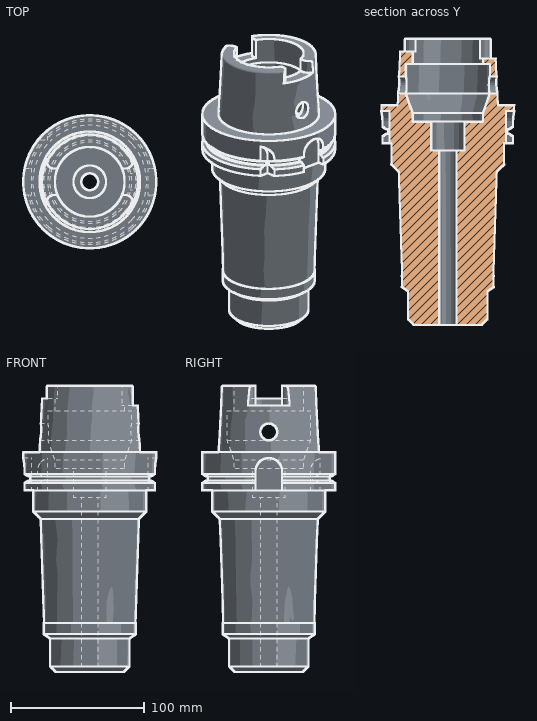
import cadquery as cq
import math

total_height = 215.2

nose_radius = 30.0
nose_chamfer = 4.3
nose_top = 25.2
collar_radius = 34.6
collar_bottom = 28.5
collar_top = 36.8

body_bottom_radius = 34.5
body_top = 115.1
body_top_radius = 37.0
hub_bottom = 120.5
hub_radius = 42.6

flange_diameter = 100.0
flange_radius = flange_diameter / 2
flange_top = 165.3
flange_bottom = 136.5
groove_floor_radius = 45.8
groove_lip_bottom = 141.8
groove_floor_bottom = 143.8
groove_floor_top = 147.0
groove_lip_top = 149.0
groove_slant_depth = 2.8

shank_taper = 0.1
shank_base_radius = 37.9
shank_top_radius = shank_base_radius - shank_taper * (total_height - flange_top) / 2
rim_fillet = 1.7

mouth_radius = 26.3
mouth_depth = 19.2
undercut_radius = 31.5
undercut_depth = 41.0
undercut_cone_angle = 19.0
cavity_depth = 62.5
tube_seat_radius = 12.3
tube_seat_depth = 21.5
coolant_hole_radius = 6.2

keyway_width = 19.8
keyway_flare_radius = 5.8
keyway_flare_start = 26.7
keyway_depth_left = 9.7
keyway_depth_right = 14.8

cross_hole_radius = 6.2
cross_hole_depth = 34.9

slot_width = 20.0
slot_headroom = 4.5
slot_top = flange_top - slot_headroom
drive_slot_floor = 44.0
index_slot_floor = 31.8
index_slot_inner_edge = 31.2


def turned_body():
    groove_slant_radius = flange_radius - groove_slant_depth
    profile = [
        (0, 0),
        (nose_radius - nose_chamfer, 0),
        (nose_radius, nose_chamfer),
        (nose_radius, nose_top),
        (collar_radius, collar_bottom),
        (collar_radius, collar_top),
        (body_bottom_radius, collar_top),
        (body_top_radius, body_top),
        (hub_radius, hub_bottom),
        (hub_radius, flange_bottom),
        (flange_radius, flange_bottom),
        (flange_radius, groove_lip_bottom),
        (groove_slant_radius, groove_floor_bottom),
        (groove_floor_radius, groove_floor_bottom),
        (groove_floor_radius, groove_floor_top),
        (groove_slant_radius, groove_floor_top),
        (flange_radius, groove_lip_top),
        (flange_radius, flange_top),
        (shank_base_radius, flange_top),
        (shank_top_radius, total_height),
        (0, total_height),
    ]
    body = cq.Workplane("XZ").polyline(profile).close().revolve(360, (0, 0), (0, 1))
    return body.faces(">Z").edges().fillet(rim_fillet)


def interior():
    mouth_bottom = total_height - mouth_depth
    undercut_bottom = total_height - undercut_depth
    cone_height = (undercut_radius - mouth_radius) / math.tan(math.radians(undercut_cone_angle))
    cavity_floor = total_height - cavity_depth
    seat_floor = cavity_floor - tube_seat_depth
    profile = [
        (0, 0),
        (coolant_hole_radius, 0),
        (coolant_hole_radius, seat_floor),
        (tube_seat_radius, seat_floor),
        (tube_seat_radius, cavity_floor),
        (mouth_radius, cavity_floor),
        (mouth_radius, undercut_bottom - cone_height),
        (undercut_radius, undercut_bottom),
        (undercut_radius, mouth_bottom),
        (mouth_radius, mouth_bottom),
        (mouth_radius, total_height),
        (0, total_height),
    ]
    return cq.Workplane("XZ").polyline(profile).close().revolve(360, (0, 0), (0, 1))


def keyway(side, depth):
    """Rim notch on the +X or -X side whose walls flare outwards in arcs."""
    half = keyway_width / 2
    flared = half + keyway_flare_radius
    flare_end = keyway_flare_start + keyway_flare_radius
    outside = flange_radius
    bend = keyway_flare_radius * math.sqrt(0.5)
    bend_x = keyway_flare_start + bend
    bend_y = flared - bend
    return (
        cq.Workplane("XY", origin=(0, 0, total_height - depth))
        .moveTo(0, -half)
        .lineTo(side * keyway_flare_start, -half)
        .threePointArc((side * bend_x, -bend_y), (side * flare_end, -flared))
        .lineTo(side * outside, -flared)
        .lineTo(side * outside, flared)
        .lineTo(side * flare_end, flared)
        .threePointArc((side * bend_x, bend_y), (side * keyway_flare_start, half))
        .lineTo(0, half)
        .close()
        .extrude(depth)
    )


def flange_slot(side, floor, center_y):
    """Round-topped slot, open at the flange bottom, with a flat floor at X = side * floor."""
    half = slot_width / 2
    spring = slot_top - half
    return (
        cq.Workplane("YZ", origin=(side * floor, 0, 0))
        .moveTo(center_y - half, flange_bottom)
        .lineTo(center_y - half, spring)
        .threePointArc((center_y, slot_top), (center_y + half, spring))
        .lineTo(center_y + half, flange_bottom)
        .close()
        .extrude(side * (flange_radius - floor))
    )


cross_hole = (
    cq.Workplane("YZ", origin=(0, 0, total_height - cross_hole_depth))
    .circle(cross_hole_radius)
    .extrude(flange_radius, both=True)
)

result = turned_body().cut(interior()).cut(cross_hole)
result = result.cut(keyway(-1, keyway_depth_left)).cut(keyway(1, keyway_depth_right))
for slot_side in (-1, 1):
    result = result.cut(flange_slot(slot_side, drive_slot_floor, 0))
index_slot_center = index_slot_inner_edge + slot_width / 2
result = result.cut(flange_slot(-1, index_slot_floor, index_slot_center))